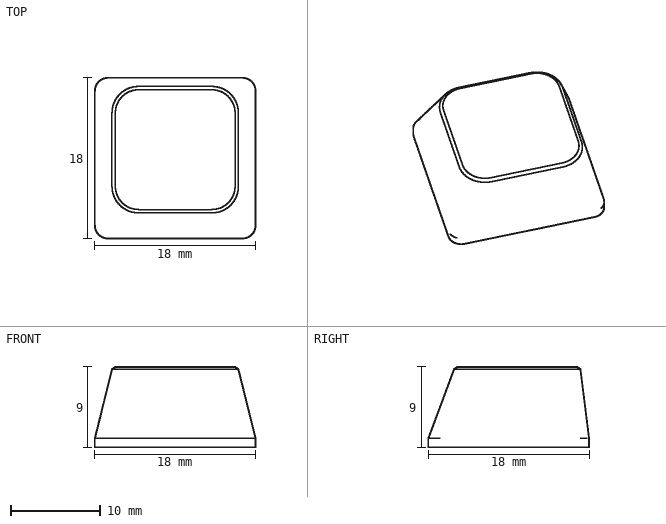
import cadquery as cq

base_side = 18.0
total_height = 9.0
skirt_height = 1.0
base_corner_radius = 1.5

top_side = 14.15
top_corner_radius = 2.97
top_shift = 0.95

rim_width = 0.38
rim_height = 0.25


def rounded_square(side, corner_radius, z, shift=0.0):
    """Wire of a rounded square at height z, shifted along Y."""
    prism = cq.Workplane("XY").rect(side, side).extrude(0.18).edges("|Z").fillet(corner_radius)
    return prism.faces("<Z").wires().val().translate(cq.Vector(0, shift, z))


def ruled_body(lower, upper):
    """Solid with straight walls between two outlines."""
    return cq.Workplane(obj=cq.Solid.makeLoft([lower, upper], True))


rim_start = total_height - rim_height
foot = rounded_square(base_side, base_corner_radius, 0)
shoulder = rounded_square(base_side, base_corner_radius, skirt_height)
rim_outer = rounded_square(top_side, top_corner_radius, rim_start, top_shift)
rim_inner = rounded_square(
    top_side - 2 * rim_width, top_corner_radius - rim_width, total_height, top_shift
)

skirt = ruled_body(foot, shoulder)
tapered_body = ruled_body(shoulder, rim_outer)
rim = ruled_body(rim_outer, rim_inner)

result = skirt.union(tapered_body).union(rim)